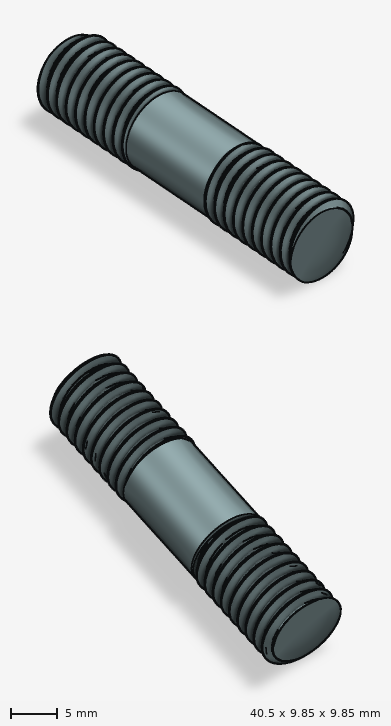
import cadquery as cq
import math

total_length = 40.5
thread_length = 14.0
shank_length = total_length - 2 * thread_length
shank_diameter = 9.5

major_diameter = 9.85
root_diameter = 8.15
pitch = 1.5
degrees_per_unit = 360 / pitch
crest_width = pitch / 8
flank_angle = 30.0

left_crest_offset = 0.5
right_crest_offset = 0.75

flank_segments = 12


def make_shank():
    """Plain cylinder between the two threaded ends."""
    shank = cq.Workplane("YZ").circle(shank_diameter / 2).extrude(shank_length)
    return shank.translate((-shank_length / 2, 0, 0))


def polar_point(radius, angle):
    """Point in the cross-section plane, at an angle in degrees from +X."""
    return (radius * math.cos(math.radians(angle)), radius * math.sin(math.radians(angle)))


def make_thread_section():
    """Cross-section square to the axis: crest and root arcs joined by two spiral flanks.

    One turn of the section corresponds to one pitch along the axis, so axial widths of
    the thread profile become angles. The crest is centred on +X and the root on -X.
    """
    major_radius = major_diameter / 2
    root_radius = root_diameter / 2
    flank_width = (major_radius - root_radius) * math.tan(math.radians(flank_angle))
    crest_edge = crest_width / 2 * degrees_per_unit
    root_edge = crest_edge + flank_width * degrees_per_unit

    def flank_point(fraction, side):
        radius = major_radius + (root_radius - major_radius) * fraction
        return polar_point(radius, side * (crest_edge + (root_edge - crest_edge) * fraction))

    return (
        cq.Workplane("XY")
        .moveTo(*polar_point(major_radius, -crest_edge))
        .threePointArc(polar_point(major_radius, 0), polar_point(major_radius, crest_edge))
        .parametricCurve(lambda t: flank_point(t, 1), N=flank_segments, makeWire=False)
        .threePointArc(polar_point(root_radius, 180), polar_point(root_radius, -root_edge))
        .parametricCurve(lambda t: flank_point(1 - t, -1), N=flank_segments, makeWire=False)
        .wire()
    )


def make_threaded_end(start_x, crest_offset):
    """Right-hand threaded rod running along +X from start_x."""
    threaded = make_thread_section().twistExtrude(thread_length, thread_length * degrees_per_unit)
    phase_angle = -crest_offset * degrees_per_unit
    return (
        threaded.rotate((0, 0, 0), (0, 0, 1), phase_angle)
        .rotate((0, 0, 0), (0, 1, 0), 90)
        .translate((start_x, 0, 0))
    )


shank = make_shank()
threaded_ends = [
    make_threaded_end(start_x, crest_offset)
    for start_x, crest_offset in (
        (-total_length / 2, left_crest_offset),
        (shank_length / 2, right_crest_offset),
    )
]

result = cq.Compound.makeCompound([shank.val(), *(end.val() for end in threaded_ends)])